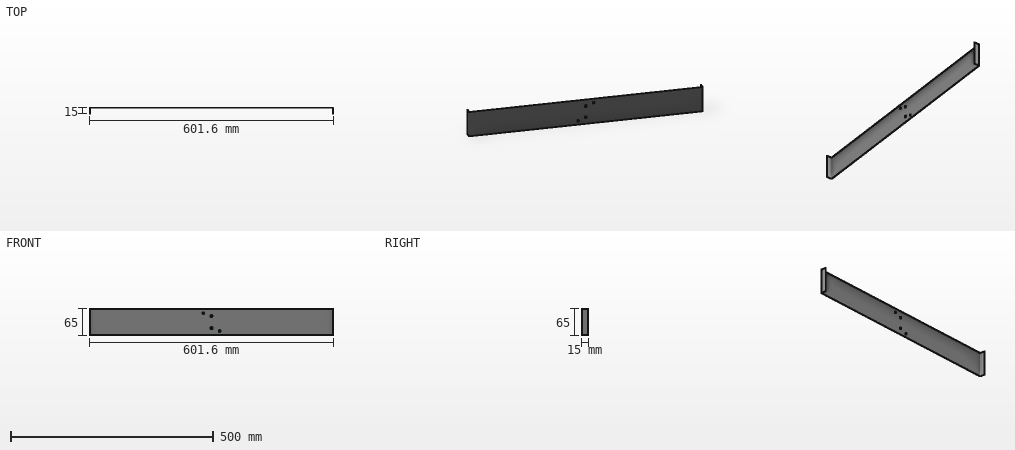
import cadquery as cq

length = 601.6
depth = 15.0
height = 65.0

thickness = 0.8
inner_bend_radius = 0.5
outer_bend_radius = inner_bend_radius + thickness

centre_hole_diameter = 5.0
centre_hole_z = 15.0
offset_hole_diameter = 4.0
offset_hole_x = 20.0
offset_hole_z = 22.0


def rounded_block(size_x, size_y, corner_radius, front_y):
    """Full-height block starting at front_y, with its two rear vertical edges rounded."""
    block = cq.Workplane("XY").box(size_x, size_y, height, centered=(True, False, True))
    return block.edges("|Z and >Y").fillet(corner_radius).translate((0, front_y, 0))


def make_channel():
    """Flat web at the rear with a flange bent forward at each end."""
    front_y = -depth / 2
    outside = rounded_block(length, depth, outer_bend_radius, front_y)
    inside = rounded_block(length - 2 * thickness, depth - thickness, inner_bend_radius, front_y)
    return outside.cut(inside)


def drill_pair(body, x, z, diameter):
    """Drill through the web at (x, z) and at the point opposite its centre."""
    drills = (
        cq.Workplane("XZ")
        .pushPoints([(x, z), (-x, -z)])
        .circle(diameter / 2)
        .extrude(depth, both=True)
    )
    return body.cut(drills)


result = make_channel()
result = drill_pair(result, 0, centre_hole_z, centre_hole_diameter)
result = drill_pair(result, -offset_hole_x, offset_hole_z, offset_hole_diameter)